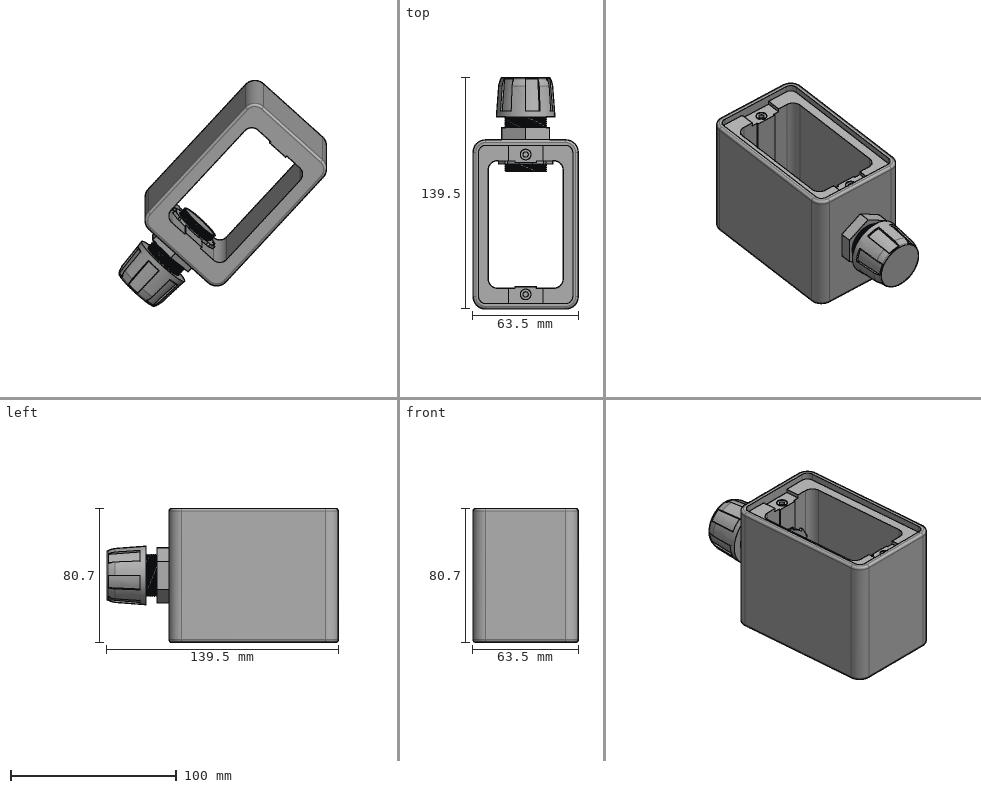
import cadquery as cq
import math


BOX_WIDTH = 63.5
BOX_LENGTH = 102.1
BOX_HEIGHT = 80.7
CORNER_RADIUS = 7.7
EDGE_FILLET = 1.7
RIM_WIDTH = 3.3
RECESS_DEPTH = 4.2

SIDE_WALL = 9.2
END_WALL = 12.7
OPENING_RADIUS = 5.6

SEAT_WIDTH = 20.6
SEAT_DEPTH = 2.2
RIB_WIDTH = 13.0
RIB_HEIGHT = 1.0
SCREW_INSET = 8.9
COUNTERBORE_DIAMETER = 6.4
COUNTERBORE_DEPTH = 0.5
SCREW_HOLE_DIAMETER = 3.2
SCREW_HOLE_DEPTH = 11.2

GLAND_LENGTH = 37.4
CAP_LENGTH = 23.5
HEX_ACROSS_FLATS = 29.0
HEX_LENGTH = 7.3
THREAD_RADIUS = 12.5
THREAD_ROOT_RADIUS = 11.9
THREAD_PITCH = 1.3
SPIRAL_STEPS = 24
THREAD_END = -19.1

CAP_BASE_RADIUS = 17.7
CAP_SHOULDER_RADIUS = 16.3
CAP_RING_RADIUS = 15.0
CAP_TIP_RADIUS = 14.6
CAP_SHOULDER_LENGTH = 5.0
CAP_RING_LENGTH = 0.8
CAP_BULGE = 0.1
GRIP_COUNT = 6
GRIP_BASE_OFFSET = 3.6
GRIP_BASE_RADIUS = 16.3

NUT_THICKNESS = 2.0
NUT_RADIUS = 15.3
LUG_COUNT = 6
LUG_REACH = 16.6
LUG_WIDTH = 8.0

BOX_CENTRE_Y = -BOX_LENGTH / 2
GLAND_HEIGHT = BOX_HEIGHT / 2
FLOOR_Z = BOX_HEIGHT - RECESS_DEPTH
SEAT_Z = FLOOR_Z - SEAT_DEPTH
OPENING_WIDTH = BOX_WIDTH - 2 * SIDE_WALL
OPENING_LENGTH = BOX_LENGTH - 2 * END_WALL
CAP_BASE = GLAND_LENGTH - CAP_LENGTH
NUT_FACE = -END_WALL - NUT_THICKNESS


def upright_block(width, length, bottom, top):
    """Block centred on the box in X and Y, between two heights."""
    block = cq.Workplane("XY").box(width, length, top - bottom, centered=(True, True, False))
    return block.translate((0, BOX_CENTRE_Y, bottom))


def make_box():
    box = upright_block(BOX_WIDTH, BOX_LENGTH, 0, BOX_HEIGHT)
    box = box.edges("|Z").fillet(CORNER_RADIUS)
    box = box.faces("<Z or >Z").edges().fillet(EDGE_FILLET)

    recess = upright_block(BOX_WIDTH - 2 * RIM_WIDTH, BOX_LENGTH - 2 * RIM_WIDTH, FLOOR_Z, BOX_HEIGHT)
    recess = recess.edges("|Z").fillet(CORNER_RADIUS - RIM_WIDTH)
    opening = upright_block(OPENING_WIDTH, OPENING_LENGTH, 0, BOX_HEIGHT)
    opening = opening.edges("|Z").fillet(OPENING_RADIUS)

    opening = opening.cut(
        upright_block(RIB_WIDTH, OPENING_LENGTH, 0, BOX_HEIGHT)
        .cut(upright_block(RIB_WIDTH, OPENING_LENGTH - 2 * RIB_HEIGHT, 0, BOX_HEIGHT))
    )
    seats = upright_block(SEAT_WIDTH, BOX_LENGTH - 2 * RIM_WIDTH, SEAT_Z, FLOOR_Z)
    return cut_screw_holes(box.cut(recess).cut(opening).cut(seats))


def cut_screw_holes(box):
    screw_spacing = BOX_LENGTH - 2 * SCREW_INSET
    return (
        box.copyWorkplane(cq.Workplane("XY", origin=(0, BOX_CENTRE_Y, SEAT_Z)))
        .rarray(1.4, screw_spacing, 1, 2)
        .cboreHole(SCREW_HOLE_DIAMETER, COUNTERBORE_DIAMETER, COUNTERBORE_DEPTH, SCREW_HOLE_DEPTH)
    )




def cylinder(radius, start, end):
    return cq.Workplane("XY").workplane(offset=start).circle(radius).extrude(end - start)


def thread_section(turn):
    """Point on the cross-section of the thread, for half turns from -1 to 1 with the crest at 0."""
    radius = THREAD_RADIUS - (THREAD_RADIUS - THREAD_ROOT_RADIUS) * abs(turn)
    return radius * math.cos(math.pi * turn), radius * math.sin(math.pi * turn)


def make_thread(start, end):
    """Right-handed V thread between two places on the gland axis.

    Cut square to its axis, a V thread is bounded by two mirrored spirals that rise from root to
    crest, so twisting that section by one turn per pitch makes the whole threaded rod.
    """
    length = end - start
    return (
        cq.Workplane("XY")
        .workplane(offset=start)
        .parametricCurve(thread_section, N=SPIRAL_STEPS, start=-1, stop=0, makeWire=False)
        .parametricCurve(thread_section, N=SPIRAL_STEPS, start=0, stop=1, makeWire=False)
        .wire()
        .twistExtrude(length, 360 * length / THREAD_PITCH)
    )


def make_cap():
    shoulder = GLAND_LENGTH - CAP_SHOULDER_LENGTH
    ring = GLAND_LENGTH - CAP_RING_LENGTH
    bulge_point = (
        (CAP_SHOULDER_RADIUS + CAP_RING_RADIUS) / 2 + CAP_BULGE,
        (shoulder + ring) / 2,
    )
    cap = (
        cq.Workplane("XZ")
        .moveTo(0, CAP_BASE)
        .lineTo(CAP_BASE_RADIUS, CAP_BASE)
        .lineTo(CAP_SHOULDER_RADIUS, shoulder)
        .threePointArc(bulge_point, (CAP_RING_RADIUS, ring))
        .lineTo(CAP_TIP_RADIUS, GLAND_LENGTH)
        .lineTo(0, GLAND_LENGTH)
        .close()
        .revolve(360, (0, 0), (0, 1))
    )

    grip_angle = 180 / GRIP_COUNT
    grip = (
        cq.Workplane("XZ")
        .polyline([
            (GRIP_BASE_RADIUS, CAP_BASE + GRIP_BASE_OFFSET),
            (2 * CAP_BASE_RADIUS, CAP_BASE + GRIP_BASE_OFFSET),
            (2 * CAP_BASE_RADIUS, ring),
            (CAP_TIP_RADIUS, ring),
        ])
        .close()
        .revolve(grip_angle, (0, 0), (0, 1))
    )
    for index in range(GRIP_COUNT):
        cap = cap.cut(grip.rotate((0, 0, 0), (0, 0, 1), (2 * index + 1) * grip_angle))
    return cap


def make_lock_nut():
    nut = cylinder(NUT_RADIUS, NUT_FACE, -END_WALL)
    lug = cq.Workplane("XY").box(LUG_REACH, LUG_WIDTH, NUT_THICKNESS, centered=(False, True, False))
    lug = lug.translate((0, 0, NUT_FACE))
    for index in range(LUG_COUNT):
        nut = nut.union(lug.rotate((0, 0, 0), (0, 0, 1), 90 + index * 360 / LUG_COUNT))
    return nut


def make_gland():
    across_corners = HEX_ACROSS_FLATS / math.cos(math.pi / 6)
    hexagon = cq.Workplane("XY").polygon(6, across_corners).extrude(HEX_LENGTH)
    hexagon = hexagon.rotate((0, 0, 0), (0, 0, 1), 90)
    gland = hexagon.union(make_cap())
    gland = gland.union(make_thread(HEX_LENGTH, CAP_BASE))
    gland = gland.union(make_lock_nut())
    gland = gland.union(make_thread(THREAD_END, NUT_FACE))
    return gland.rotate((0, 0, 0), (1, 0, 0), -90).translate((0, 0, GLAND_HEIGHT))


result = make_box().union(make_gland())